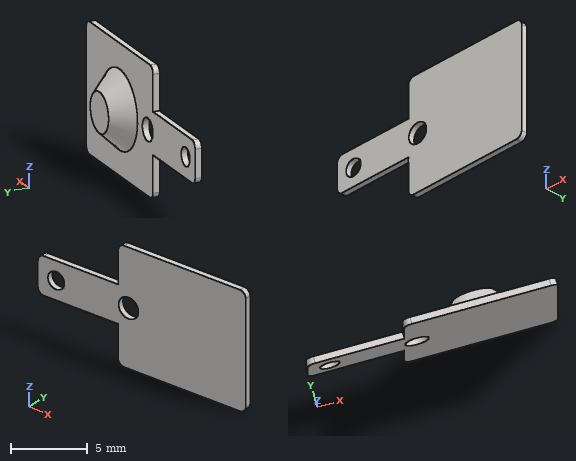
import cadquery as cq

total_length = 16.99
thickness = 0.5
total_depth = 1.94

plate_length = 10.43
plate_height = 9.2
tab_length = total_length - plate_length
tab_height = 3.0
corner_radius = 0.5

tab_hole_x = 1.5
tab_hole_diameter = 1.33
neck_hole_x = 7.4
neck_hole_diameter = 1.6

boss_x = tab_length + plate_length / 2
boss_top_radius = 1.43
boss_base_radius = 2.8


def slab(x_start, length, height):
    """Upright rectangular sheet with its front face on Y = 0."""
    sheet = cq.Workplane("XY").box(length, thickness, height, centered=(False, False, True))
    return sheet.translate((x_start, 0, 0))


def through_hole(x, diameter):
    """Cutter running along Y through the sheet."""
    return cq.Workplane("XZ").center(x, 0).circle(diameter / 2).extrude(-thickness)


plate = slab(tab_length, plate_length, plate_height).edges("|Y").fillet(corner_radius)

tab = slab(0, tab_length, tab_height).edges("|Y and <X").fillet(corner_radius)

boss = (
    cq.Workplane("YZ", origin=(boss_x, 0, 0))
    .moveTo(thickness, 0)
    .lineTo(thickness, boss_base_radius)
    .lineTo(total_depth, boss_top_radius)
    .lineTo(total_depth, 0)
    .close()
    .revolve(360, (0, 0), (1, 0))
)

result = plate.union(tab).union(boss)
result = result.cut(through_hole(tab_hole_x, tab_hole_diameter))
result = result.cut(through_hole(neck_hole_x, neck_hole_diameter))